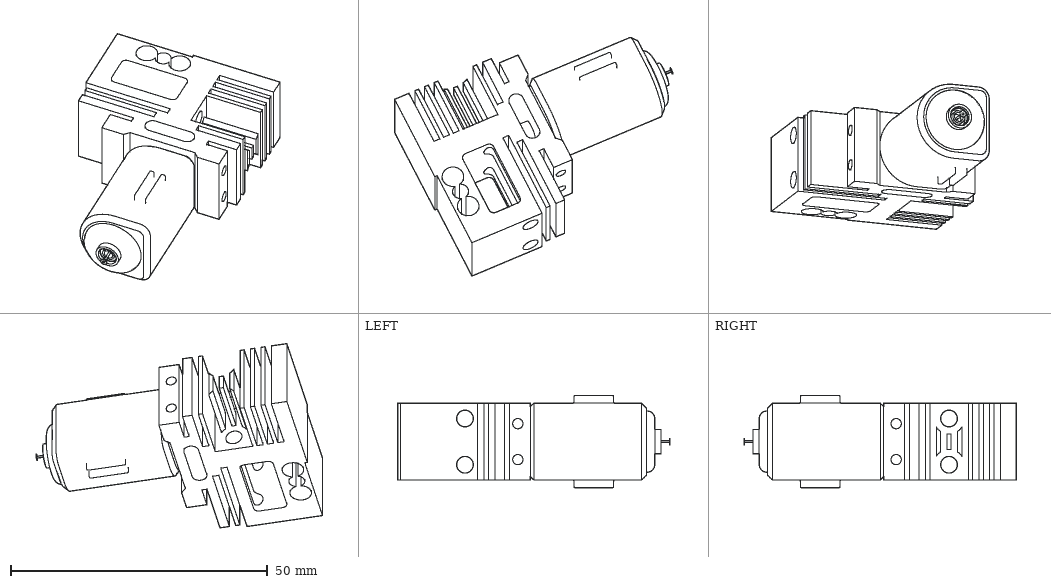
import cadquery as cq


HEIGHT = 15.0
RIGHT_X = 14.0
BLOCK_LEFT_X = -20.5
FIN_LEFT_X = -19.75
SPINE_HALF_WIDTH = 2.5
COLLAR_HALF_WIDTH = 4.5
REAR_STEP = 0.5

HEAD_THICKNESS = 3.1
FIN_GAP = 1.25
FIN_THICKNESS = 0.83
FIN_COUNT = 7
THICK_FIN_THICKNESS = 1.9
FIN_PITCH = FIN_GAP + FIN_THICKNESS
LAST_FIN_END = HEAD_THICKNESS + FIN_COUNT * FIN_PITCH
LAST_FIN_START = LAST_FIN_END - FIN_THICKNESS
LEFT_BLOCK_END = LAST_FIN_START - FIN_GAP
THICK_FIN_START = LAST_FIN_END + FIN_GAP
THICK_FIN_END = THICK_FIN_START + THICK_FIN_THICKNESS

WAIST_HALF_WIDTH = 8.0
WAIST_LENGTH = 1.0
PLATE_HALF_WIDTH = 12.5
PLATE_THICKNESS = 4.05
PLATE_START = THICK_FIN_END + WAIST_LENGTH
PLATE_END = PLATE_START + PLATE_THICKNESS
SEAT_HALF_WIDTH = 6.9
SEAT_DEPTH = 1.0

SIDE_BORE_DIAMETER = 4.2
SIDE_BORE_OFFSET = 3.5
CENTER_BORE_DIAMETER = 3.1
BORES_X = -9.5
BORES_DEPTH = 3.2
POCKET_LENGTH = 14.0
POCKET_WIDTH = 6.6
POCKET_START = 6.55
POCKET_RADIUS = 1.0
SLOT_LENGTH = 10.3
SLOT_WIDTH = 2.9
SLOT_START = 19.9

BOLT_DIAMETER = 3.2
BOLT_DEPTH = 13.1
BOLT_Z = 4.5
BOLT_HEAD_DIAMETER = 6.0
PLATE_HOLE_DIAMETER = 2.0
PLATE_HOLE_Z = 3.5
PLATE_HOLE_DEPTH = 23.4

MOTOR_RADIUS = HEIGHT / 2
MOTOR_CORNER_RADIUS = 2.3
MOTOR_CHAMFER = 1.0
MOTOR_START = 25.5
MOTOR_END = 48.5
SHAFT_DIAMETER = 3.8
DOME_DIAMETER = 12.0
DOME_HEIGHT = 1.6
DOME_EDGE_RADIUS = 1.55
NUB_DIAMETER = 4.8
NUB_HEIGHT = 1.2
NUB_MOUTH_DIAMETER = 3.8
NUB_MOUTH_DEPTH = 0.7
NUB_BORE_DIAMETER = 3.5
NUB_BORE_DEPTH = 2.0
RING_DIAMETER = 2.5
RING_BORE_DIAMETER = 1.8
RING_HEIGHT = 1.4
PIN_DIAMETER = 0.4
DISC_DIAMETER = 1.3
DISC_THICKNESS = 0.06
DISC_END = 53.0
DOME_END = MOTOR_END + DOME_HEIGHT
NUB_END = DOME_END + NUB_HEIGHT

TERMINAL_X = (2.05, 4.45)
TERMINAL_WIDTH = 0.9
TERMINAL_LENGTH = 7.75
TERMINAL_HEIGHT = 1.5
TERMINAL_DEPTH = 38.2
TERMINAL_ROUND = 0.25
TERMINAL_ROOT_RADIUS = 0.2
ROOT_SEARCH = 0.05


def slab(x_min, x_max, start, end):
    """Full-height plate between two X positions and two depths."""
    return (
        cq.Workplane("XY")
        .box(x_max - x_min, end - start, HEIGHT, centered=False)
        .translate((x_min, -end, -HEIGHT / 2))
    )


def z_bore(x, depth, diameter):
    """Cylinder through the full height of the block."""
    return cq.Workplane("XY").center(x, -depth).circle(diameter / 2).extrude(HEIGHT, both=True)


def x_cylinder(diameter, depth, z, x_min, x_max):
    """Cylinder along X between two X positions."""
    return (
        cq.Workplane("YZ", origin=(x_min, -depth, z))
        .circle(diameter / 2)
        .extrude(x_max - x_min)
    )


def y_cylinder(diameter, start, end):
    """Cylinder on the motor axis between two depths."""
    return cq.Workplane("XZ", origin=(0, -start, 0)).circle(diameter / 2).extrude(end - start)


def make_block_body():
    body = slab(BLOCK_LEFT_X, SPINE_HALF_WIDTH, REAR_STEP, LEFT_BLOCK_END)
    body = body.union(slab(-COLLAR_HALF_WIDTH, RIGHT_X, 0, HEAD_THICKNESS))
    body = body.union(slab(-SPINE_HALF_WIDTH, SPINE_HALF_WIDTH, 0, THICK_FIN_START))
    for index in range(FIN_COUNT):
        start = HEAD_THICKNESS + FIN_GAP + index * FIN_PITCH
        body = body.union(slab(0, RIGHT_X, start, start + FIN_THICKNESS))
    body = body.union(slab(FIN_LEFT_X, 0, LAST_FIN_START, LAST_FIN_END))
    body = body.union(slab(-COLLAR_HALF_WIDTH, COLLAR_HALF_WIDTH, LAST_FIN_END, THICK_FIN_START))
    body = body.union(slab(FIN_LEFT_X, RIGHT_X, THICK_FIN_START, THICK_FIN_END))
    body = body.union(slab(-WAIST_HALF_WIDTH, WAIST_HALF_WIDTH, THICK_FIN_END, PLATE_START))
    return body.union(slab(-PLATE_HALF_WIDTH, PLATE_HALF_WIDTH, PLATE_START, PLATE_END))


def cut_motor_seat(block):
    """Shallow channel with 45 degree sides across the front of the plate."""
    seat_outline = [
        (-SEAT_HALF_WIDTH - SEAT_DEPTH, -PLATE_END),
        (-SEAT_HALF_WIDTH, SEAT_DEPTH - PLATE_END),
        (SEAT_HALF_WIDTH, SEAT_DEPTH - PLATE_END),
        (SEAT_HALF_WIDTH + SEAT_DEPTH, -PLATE_END),
    ]
    return block.cut(cq.Workplane("XY").polyline(seat_outline).close().extrude(HEIGHT, both=True))


def cut_vertical_openings(block):
    block = block.cut(z_bore(BORES_X, BORES_DEPTH, CENTER_BORE_DIAMETER))
    for side in (-1, 1):
        block = block.cut(z_bore(BORES_X + side * SIDE_BORE_OFFSET, BORES_DEPTH, SIDE_BORE_DIAMETER))
    pocket = slab(
        -SPINE_HALF_WIDTH - POCKET_LENGTH, -SPINE_HALF_WIDTH, POCKET_START, POCKET_START + POCKET_WIDTH
    )
    block = block.cut(pocket.edges("|Z").fillet(POCKET_RADIUS))
    slot = (
        cq.Workplane("XY")
        .center(0, -SLOT_START - SLOT_WIDTH / 2)
        .slot2D(SLOT_LENGTH, SLOT_WIDTH)
        .extrude(HEIGHT, both=True)
    )
    return block.cut(slot)


def make_head_clearance(side):
    """Round-bottomed channel along X through the fins, open to the top (+1) or bottom (-1)."""
    bolt_z = side * BOLT_Z
    channel_length = RIGHT_X - SPINE_HALF_WIDTH
    round_bottom = x_cylinder(BOLT_HEAD_DIAMETER, BOLT_DEPTH, bolt_z, SPINE_HALF_WIDTH, RIGHT_X)
    open_side = (
        cq.Workplane("XY")
        .box(channel_length, BOLT_HEAD_DIAMETER, HEIGHT)
        .translate((SPINE_HALF_WIDTH + channel_length / 2, -BOLT_DEPTH, bolt_z + side * HEIGHT / 2))
    )
    return round_bottom.union(open_side)


def cut_cross_holes(block):
    """Bolt holes with head clearance through the fins, and blind holes in the plate ends."""
    for side in (-1, 1):
        bolt_z = side * BOLT_Z
        block = block.cut(x_cylinder(BOLT_DIAMETER, BOLT_DEPTH, bolt_z, BLOCK_LEFT_X, RIGHT_X))
        block = block.cut(make_head_clearance(side))
        hole_z = side * PLATE_HOLE_Z
        block = block.cut(
            x_cylinder(PLATE_HOLE_DIAMETER, PLATE_HOLE_DEPTH, hole_z, -PLATE_HALF_WIDTH, -WAIST_HALF_WIDTH)
        )
        block = block.cut(
            x_cylinder(PLATE_HOLE_DIAMETER, PLATE_HOLE_DEPTH, hole_z, WAIST_HALF_WIDTH, PLATE_HALF_WIDTH)
        )
    return block


def make_can():
    """Motor can: half round on the left, square with rounded corners on the right."""
    can = (
        cq.Workplane("XZ", origin=(0, -MOTOR_START, 0))
        .moveTo(0, MOTOR_RADIUS)
        .lineTo(MOTOR_RADIUS, MOTOR_RADIUS)
        .lineTo(MOTOR_RADIUS, -MOTOR_RADIUS)
        .lineTo(0, -MOTOR_RADIUS)
        .threePointArc((-MOTOR_RADIUS, 0), (0, MOTOR_RADIUS))
        .close()
        .extrude(MOTOR_END - MOTOR_START)
    )
    can = can.edges("|Y and >X").fillet(MOTOR_CORNER_RADIUS)
    return can.faces("<Y or >Y").edges().chamfer(MOTOR_CHAMFER)


def add_terminals(can):
    """Two rounded blades on the top flat and two on the bottom flat."""
    for x in TERMINAL_X:
        blade = (
            cq.Workplane("XY")
            .box(TERMINAL_WIDTH, TERMINAL_LENGTH, HEIGHT + 2 * TERMINAL_HEIGHT)
            .edges("|Z or >Z or <Z")
            .fillet(TERMINAL_ROUND)
            .translate((x, -TERMINAL_DEPTH, 0))
        )
        can = can.union(blade)
        for side in (-1, 1):
            base_z = side * MOTOR_RADIUS
            root = cq.selectors.BoxSelector(
                (x - TERMINAL_WIDTH, -TERMINAL_DEPTH - TERMINAL_LENGTH, base_z - ROOT_SEARCH),
                (x + TERMINAL_WIDTH, -TERMINAL_DEPTH + TERMINAL_LENGTH, base_z + ROOT_SEARCH),
                boundingbox=True,
            )
            can = can.edges(root).fillet(TERMINAL_ROOT_RADIUS)
    return can


def make_front_end():
    """Domed cap, hollow nub with a ring inside, and a thin pin with an end disc."""
    dome = y_cylinder(DOME_DIAMETER, MOTOR_END, DOME_END)
    dome = dome.faces("<Y").edges().fillet(DOME_EDGE_RADIUS)
    nub = y_cylinder(NUB_DIAMETER, DOME_END, NUB_END)
    cap = dome.union(nub)
    cap = cap.cut(y_cylinder(NUB_MOUTH_DIAMETER, NUB_END - NUB_MOUTH_DEPTH, NUB_END))
    bore_end = NUB_END - NUB_BORE_DEPTH
    ring_end = bore_end + RING_HEIGHT
    cap = cap.cut(y_cylinder(NUB_BORE_DIAMETER, bore_end, NUB_END))
    cap = cap.union(y_cylinder(RING_DIAMETER, bore_end, ring_end))
    cap = cap.cut(y_cylinder(RING_BORE_DIAMETER, bore_end, ring_end))
    pin_end = DISC_END - DISC_THICKNESS / 2
    pin = y_cylinder(PIN_DIAMETER, MOTOR_END, pin_end)
    disc = y_cylinder(DISC_DIAMETER, DISC_END - DISC_THICKNESS, DISC_END)
    disc = disc.cut(y_cylinder(PIN_DIAMETER, pin_end, DISC_END))
    return cap.union(pin).union(disc)


block = cut_cross_holes(cut_vertical_openings(cut_motor_seat(make_block_body())))
shaft = y_cylinder(SHAFT_DIAMETER, SLOT_START, MOTOR_START)
motor = add_terminals(make_can()).union(make_front_end())
result = block.union(shaft).union(motor)